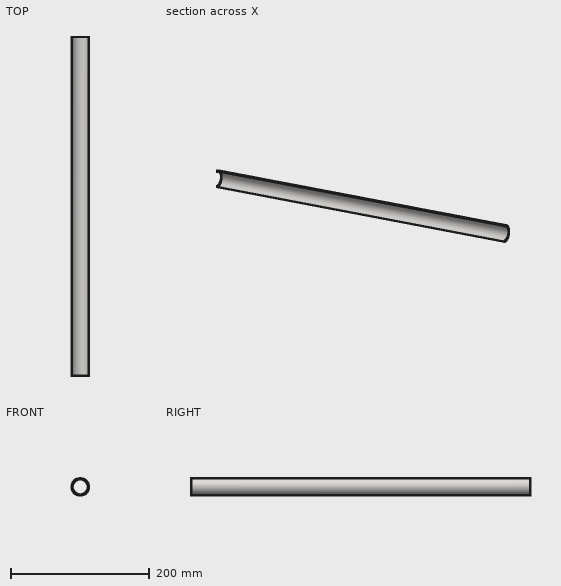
import cadquery as cq

LENGTH = 490.45
OUTER_DIAMETER = 25.0
WALL = 1.5

inner_diameter = OUTER_DIAMETER - 2 * WALL

result = (
    cq.Workplane("XZ", origin=(0, LENGTH / 2, 0))
    .circle(OUTER_DIAMETER / 2)
    .circle(inner_diameter / 2)
    .extrude(LENGTH)
)